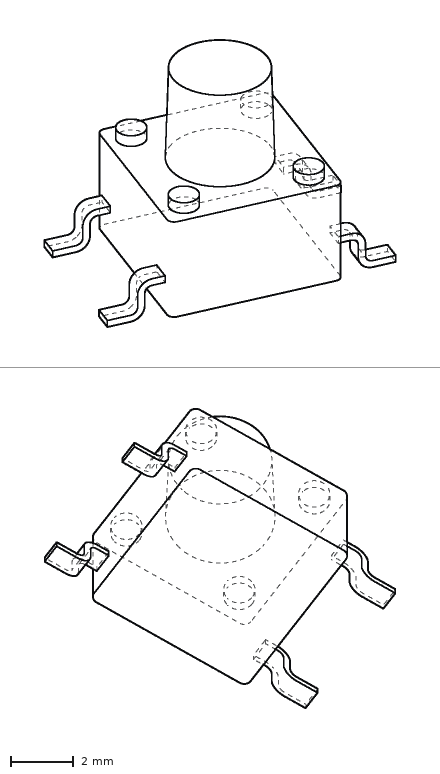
import cadquery as cq


body_side = 6.0
body_height = 3.6
body_corner_radius = 0.25

peg_radius = 0.5
peg_height = 0.4
peg_offset = 2.165

button_base_radius = 1.75
button_top_radius = 1.65
button_height = 3.4

lead_span = 10.0
lead_width = 0.7
lead_thickness = 0.25
lead_pitch = 4.5
lead_height = 1.45
foot_drop = 0.07
foot_flat_length = 0.8
bend_inner_radius = 0.25
bend_outer_radius = bend_inner_radius + lead_thickness


def make_body():
    """Square block with rounded vertical edges."""
    block = cq.Workplane("XY").box(body_side, body_side, body_height, centered=(True, True, False))
    return block.edges("|Z").fillet(body_corner_radius)


def make_pegs():
    """Four short round pegs near the corners of the top face."""
    peg_spacing = 2 * peg_offset
    return (
        cq.Workplane("XY", origin=(0, 0, body_height))
        .rarray(peg_spacing, peg_spacing, 2, 2)
        .circle(peg_radius)
        .extrude(peg_height)
    )


def make_button():
    """Round button that narrows slightly towards its top."""
    return (
        cq.Workplane("XY", origin=(0, 0, body_height))
        .circle(button_base_radius)
        .workplane(offset=button_height)
        .circle(button_top_radius)
        .loft(ruled=True)
    )


def make_lead(x_center, y_sign):
    """S-shaped lead running from the body wall out to a foot at the given Y side."""
    tip = lead_span / 2
    wall = body_side / 2
    riser_outer = tip - foot_flat_length - bend_inner_radius
    riser_inner = riser_outer - lead_thickness
    foot_bottom = -foot_drop
    foot_top = foot_bottom + lead_thickness
    arm_top = foot_bottom + lead_height
    arm_bottom = arm_top - lead_thickness
    upper_bend_start = riser_outer - bend_outer_radius
    lower_bend_end = riser_inner + bend_outer_radius

    lead = (
        cq.Workplane("YZ", origin=(x_center, 0, 0))
        .moveTo(wall, arm_top)
        .lineTo(upper_bend_start, arm_top)
        .radiusArc((riser_outer, arm_top - bend_outer_radius), bend_outer_radius)
        .lineTo(riser_outer, foot_top + bend_inner_radius)
        .radiusArc((lower_bend_end, foot_top), -bend_inner_radius)
        .lineTo(tip, foot_top)
        .lineTo(tip, foot_bottom)
        .lineTo(lower_bend_end, foot_bottom)
        .radiusArc((riser_inner, foot_bottom + bend_outer_radius), bend_outer_radius)
        .lineTo(riser_inner, arm_bottom - bend_inner_radius)
        .radiusArc((upper_bend_start, arm_bottom), -bend_inner_radius)
        .lineTo(wall, arm_bottom)
        .close()
        .extrude(lead_width / 2, both=True)
    )
    return lead if y_sign > 0 else lead.mirror("XZ")


result = make_body().union(make_pegs()).union(make_button())
for x_sign in (-1, 1):
    for y_sign in (-1, 1):
        result = result.union(make_lead(x_sign * lead_pitch / 2, y_sign))